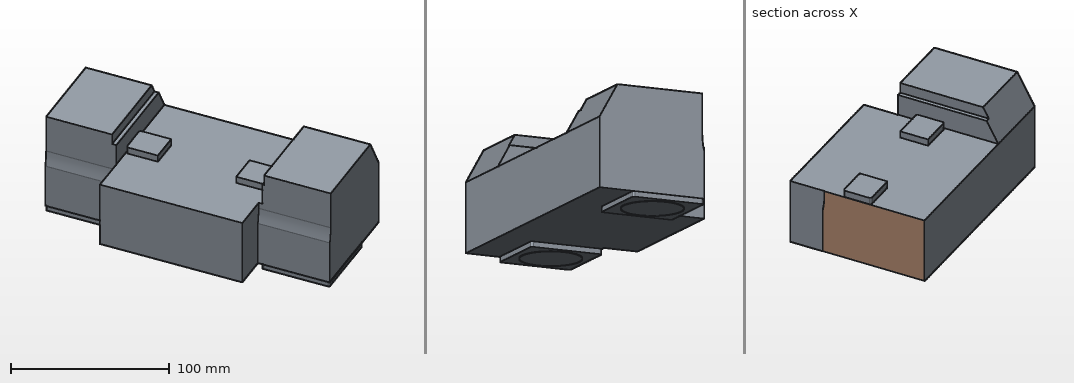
import cadquery as cq

length = 198.0
depth = 96.0
body_height = 68.1

bridge_start = 49.0
bridge_width = 99.0
bridge_end = bridge_start + bridge_width
bridge_height = 46.0

block_depth = 72.9
block_front = depth - block_depth
front_setback = 1.2
setback_bottom = 30.9
setback_top = 41.8
back_slope_depth = 12.5

ledge_height = 60.8
left_top_width = 46.0
right_shoulder_width = 47.5
right_top_width = 46.3

foot_width = 47.1
foot_depth = 49.3
foot_front = block_front + 0.2
foot_height = 3.5
left_foot_start = 0.2
right_foot_start = 150.5
disc_diameter = 40.0
disc_height = 0.4
corner_radius = 1.29

pad_width = 22.0
pad_depth = 19.8
pad_height = 4.8
pad_front = 38.0
left_pad_start = 49.5


def box(x_start, x_end, y_start, y_end, z_start, z_end):
    """Box between the given limits."""
    return cq.Workplane("XY").box(
        x_end - x_start, y_end - y_start, z_end - z_start, centered=False
    ).translate((x_start, y_start, z_start))


def end_block(x_start, x_end):
    """Side profile of an end block, extruded along X."""
    upper_front = block_front + front_setback
    setback_height = setback_top - setback_bottom
    arc_radius = (setback_height**2 + front_setback**2) / (2 * front_setback)
    return (
        cq.Workplane("YZ", origin=(x_start, 0, 0))
        .moveTo(block_front, 0)
        .lineTo(depth, 0)
        .lineTo(depth, bridge_height)
        .lineTo(depth - back_slope_depth, body_height)
        .lineTo(upper_front, body_height)
        .lineTo(upper_front, setback_top)
        .radiusArc((block_front, setback_bottom), arc_radius)
        .close()
        .extrude(x_end - x_start)
    )


def foot(x_start):
    """Rounded rectangular foot with its disc."""
    plate = box(
        x_start, x_start + foot_width,
        foot_front, foot_front + foot_depth,
        -foot_height, 0,
    ).edges("|Z").fillet(corner_radius)
    center = (x_start + foot_width / 2, foot_front + foot_depth / 2, -foot_height)
    disc = cq.Workplane("XY", origin=center).circle(disc_diameter / 2).extrude(-disc_height)
    return plate.union(disc)


def pad(x_start, outer_side):
    """Top pad whose two corners on the outer side are rounded."""
    return box(
        x_start, x_start + pad_width,
        pad_front, pad_front + pad_depth,
        bridge_height, bridge_height + pad_height,
    ).faces(outer_side).edges("|Z").fillet(corner_radius)


bridge = box(bridge_start, bridge_end, 0, depth, 0, bridge_height)

left_ledge_cut = box(left_top_width, bridge_start, 0, depth, ledge_height, body_height)
left_block = end_block(0, bridge_start).cut(left_ledge_cut)

right_shoulder = length - right_shoulder_width
right_top = length - right_top_width
right_shoulder_cut = box(bridge_end, right_shoulder, 0, depth, bridge_height, body_height)
right_ledge_cut = box(right_shoulder, right_top, 0, depth, ledge_height, body_height)
right_block = end_block(bridge_end, length).cut(right_shoulder_cut).cut(right_ledge_cut)

result = bridge.union(left_block).union(right_block)
for foot_start in (left_foot_start, right_foot_start):
    result = result.union(foot(foot_start))
result = result.union(pad(left_pad_start, "<X"))
result = result.union(pad(bridge_end - pad_width, ">X"))